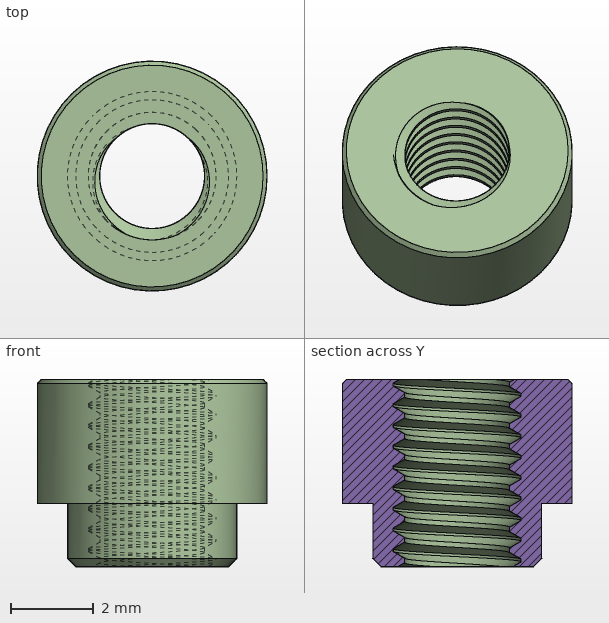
import cadquery as cq
import math

head_diameter = 5.56
shank_diameter = 4.09
total_height = 4.53
head_height = 3.0
shank_height = total_height - head_height
head_chamfer = 0.1
shank_chamfer = 0.2

bore_diameter = 2.53
thread_root_diameter = 3.085
pitch = 0.5
flank_slope = math.tan(math.radians(30))
root_flat = pitch / 8
thread_turns = 11
turns_below_top = 10
cutter_overlap = 0.03


def make_body():
    shank = cq.Workplane("XY").circle(shank_diameter / 2).extrude(shank_height)
    shank = shank.faces("<Z").chamfer(shank_chamfer)
    head = (
        cq.Workplane("XY")
        .workplane(offset=shank_height)
        .circle(head_diameter / 2)
        .extrude(head_height)
        .faces(">Z")
        .chamfer(head_chamfer)
    )
    return shank.union(head).faces("<Z").workplane().hole(bore_diameter)


def make_thread_cutter():
    """Sweep a flat-rooted V along a helix centred on the -Y side at the top face."""
    inner_radius = bore_diameter / 2 - cutter_overlap
    root_radius = thread_root_diameter / 2
    half_root = root_flat / 2
    half_mouth = half_root + (root_radius - inner_radius) * flank_slope
    helix = cq.Wire.makeHelix(pitch, thread_turns * pitch, inner_radius)
    groove = (
        cq.Workplane("XZ")
        .moveTo(inner_radius, -half_mouth)
        .lineTo(root_radius, -half_root)
        .lineTo(root_radius, half_root)
        .lineTo(inner_radius, half_mouth)
        .close()
        .sweep(cq.Workplane(obj=helix), isFrenet=True)
    )
    start_height = total_height - turns_below_top * pitch
    return groove.rotate((0, 0, 0), (0, 0, 1), -90).translate((0, 0, start_height))


result = make_body().cut(make_thread_cutter())